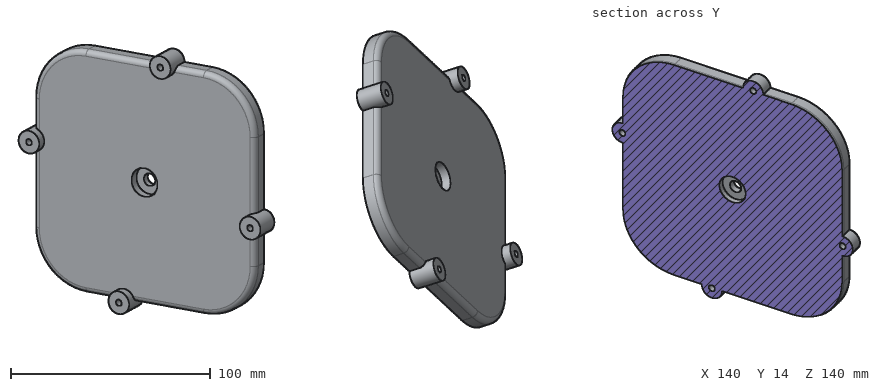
import cadquery as cq

PLATE_SIDE = 128.0
PLATE_THICKNESS = 9.0
CORNER_RADIUS = 30.0
FRONT_EDGE_FILLET = 3.0

BOSS_DIAMETER = 12.0
BOSS_LENGTH = 14.0
BOSS_HOLE_DIAMETER = 3.3
BOSS_OFFSET = 12.0

CENTER_HOLE_DIAMETER = 6.5
COUNTERBORE_DIAMETER = 15.0
COUNTERBORE_DEPTH = 5.0

BACK_Y = 0.0
FRONT_Y = BACK_Y - PLATE_THICKNESS
HALF_SIDE = PLATE_SIDE / 2

BOSS_CENTERS = [
    (BOSS_OFFSET, HALF_SIDE),
    (-HALF_SIDE, BOSS_OFFSET),
    (-BOSS_OFFSET, -HALF_SIDE),
    (HALF_SIDE, -BOSS_OFFSET),
]


def plane_at(y):
    """XZ workplane at the given Y; positive extrusion goes toward -Y."""
    return cq.Workplane("XZ", origin=(0, y, 0))


def make_plate():
    plate = plane_at(BACK_Y).rect(PLATE_SIDE, PLATE_SIDE).extrude(PLATE_THICKNESS)
    plate = plate.edges("|Y").fillet(CORNER_RADIUS)
    return plate.faces("<Y").edges().fillet(FRONT_EDGE_FILLET)


def boss_cylinders(diameter):
    return plane_at(BACK_Y).pushPoints(BOSS_CENTERS).circle(diameter / 2).extrude(BOSS_LENGTH)


def cut_center_hole(body):
    hole = plane_at(BACK_Y).circle(CENTER_HOLE_DIAMETER / 2).extrude(PLATE_THICKNESS)
    counterbore = plane_at(FRONT_Y).circle(COUNTERBORE_DIAMETER / 2).extrude(-COUNTERBORE_DEPTH)
    return body.cut(hole).cut(counterbore)


body = make_plate().union(boss_cylinders(BOSS_DIAMETER))
body = body.cut(boss_cylinders(BOSS_HOLE_DIAMETER))
result = cut_center_hole(body)